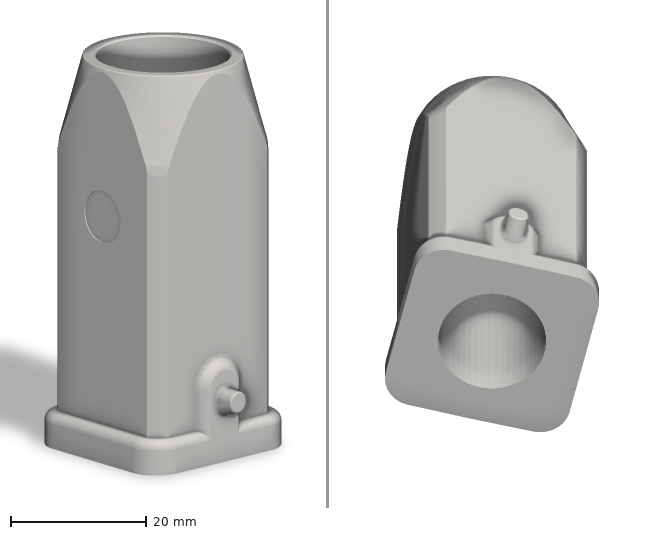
import cadquery as cq
import math

HEIGHT = 60.0
PIN_SPAN = 33.4

SIDE_DRAFT = 0.5

BASE_WIDTH = 27.0
BASE_DEPTH = 28.0
BASE_HEIGHT = 5.3
BASE_CORNER_RADIUS = 4.5
BASE_TOP_FILLET = 1.5

TOWER_WIDTH = 24.2
TOWER_DEPTH = 24.2
TOWER_RADIUS = 15.6
TOP_RADIUS = 11.95
CONE_ANGLE = 15.0
CONE_ROOT_FILLET = 6.0
TOP_FILLET = 0.25

ENTRY_DIAMETER = 20.0
ENTRY_DEPTH = 12.0
ENTRY_CHAMFER = 0.25
THROUGH_DIAMETER = 16.0

PAD_FACE_RADIUS = 2.95
PAD_CENTRE_HEIGHT = 11.6
PAD_SLOPE = 45.0
PAD_FILLET = 0.95
PAD_FOOT_HEIGHT = BASE_HEIGHT / 2

PIN_DIAMETER = 3.05
PIN_HEIGHT = 9.9
PIN_TIP_DROP = 0.2
PIN_ROOT_DROP = 1.3
PIN_TIP_CHAMFER = 0.2
PIN_ROOT_FILLET = 0.5

LABEL_DIAMETER = 8.0
LABEL_HEIGHT = 37.2
LABEL_DEPTH = 0.2

EMBED = 0.6

PICK_MARGIN = 0.2


def drafted_prism(width, depth, height):
    """Prism whose two X faces are widest at y = 0 and lean inward toward both ends."""
    half_width = width / 2
    half_depth = depth / 2
    end_half_width = half_width - half_depth * math.tan(math.radians(SIDE_DRAFT))
    outline = [
        (half_width, 0),
        (end_half_width, half_depth),
        (-end_half_width, half_depth),
        (-half_width, 0),
        (-end_half_width, -half_depth),
        (end_half_width, -half_depth),
    ]
    return cq.Workplane("XY").polyline(outline).close().extrude(height)


def make_base():
    base = drafted_prism(BASE_WIDTH, BASE_DEPTH, BASE_HEIGHT)
    base = base.edges("|Z").edges("<Y or >Y").fillet(BASE_CORNER_RADIUS)
    return base.faces(">Z").edges().fillet(BASE_TOP_FILLET)


def make_tower():
    """Cylinder and cone turned about Z, cut down to a drafted square section."""
    cone_height = (TOWER_RADIUS - TOP_RADIUS) / math.tan(math.radians(CONE_ANGLE))
    shoulder_height = HEIGHT - cone_height
    shaft = cq.Workplane("XY").circle(TOWER_RADIUS).extrude(shoulder_height)
    cone = cq.Workplane(
        cq.Solid.makeCone(TOWER_RADIUS, TOP_RADIUS, cone_height, cq.Vector(0, 0, shoulder_height))
    )
    turned = shaft.union(cone)
    shoulder = turned.edges("%CIRCLE").edges(cq.selectors.CenterNthSelector(cq.Vector(0, 0, 1), 1))
    turned = shoulder.fillet(CONE_ROOT_FILLET)
    turned = turned.faces(">Z").edges().fillet(TOP_FILLET)
    return turned.intersect(drafted_prism(TOWER_WIDTH, TOWER_DEPTH, HEIGHT))


def arched_outline(x, centre_height, radius, drop):
    """Closed outline in a YZ plane: semicircle on top of two upright sides and a flat foot."""
    return (
        cq.Workplane("YZ", origin=(x, 0, centre_height))
        .moveTo(-radius, -drop)
        .lineTo(-radius, 0)
        .threePointArc((0, radius), (radius, 0))
        .lineTo(radius, -drop)
        .close()
    )


def make_pad():
    """Sloped arch on the +X side, flush with the side of the base."""
    thickness = (BASE_WIDTH - TOWER_WIDTH) / 2 + EMBED
    drop = PAD_CENTRE_HEIGHT - PAD_FOOT_HEIGHT
    outline = arched_outline(BASE_WIDTH / 2, PAD_CENTRE_HEIGHT, PAD_FACE_RADIUS, drop)
    pad = outline.extrude(-thickness, taper=-PAD_SLOPE)
    return pad.intersect(drafted_prism(BASE_WIDTH, BASE_DEPTH, HEIGHT))


def pin_section(x, drop):
    """Upright slot: the pin circle stretched downward by the drop."""
    radius = PIN_DIAMETER / 2
    outline = (
        cq.Workplane("YZ", origin=(x, 0, PIN_HEIGHT))
        .moveTo(-radius, 0)
        .threePointArc((0, radius), (radius, 0))
        .lineTo(radius, -drop)
        .threePointArc((0, -drop - radius), (-radius, -drop))
        .close()
    )
    return outline.wires().val()


def make_pin():
    """Pin on the +X side, with an underside that deepens toward the pad."""
    root = pin_section(BASE_WIDTH / 2 - EMBED, PIN_ROOT_DROP)
    tip = pin_section(PIN_SPAN / 2, PIN_TIP_DROP)
    pin = cq.Workplane(cq.Solid.makeLoft([root, tip], True))
    return pin.faces(">X").edges().chamfer(PIN_TIP_CHAMFER)


def add_on_both_sides(body, feature):
    return body.union(feature).union(feature.mirror("YZ"))


def fillet_on_both_sides(body, x, half_y, low_z, high_z, radius):
    """Round the edges centred near the planes at +x and -x, inside the given Y and Z range."""
    for side in (1, -1):
        near_corner = (side * (x - PICK_MARGIN), -half_y, low_z)
        far_corner = (side * (x + PICK_MARGIN), half_y, high_z)
        picked = cq.selectors.BoxSelector(near_corner, far_corner)
        body = body.edges(picked).fillet(radius)
    return body


def add_pads(body):
    body = add_on_both_sides(body, make_pad())
    face_x = BASE_WIDTH / 2
    wall_x = TOWER_WIDTH / 2
    root_radius = PAD_FACE_RADIUS + (face_x - wall_x) * math.tan(math.radians(PAD_SLOPE))
    pad_top = PAD_CENTRE_HEIGHT + root_radius
    body = fillet_on_both_sides(
        body, face_x, PAD_FACE_RADIUS + PICK_MARGIN, BASE_HEIGHT, pad_top, PAD_FILLET
    )
    return fillet_on_both_sides(
        body, wall_x, root_radius + PICK_MARGIN, BASE_HEIGHT + PICK_MARGIN, pad_top, PAD_FILLET
    )


def add_pins(body):
    body = add_on_both_sides(body, make_pin())
    radius = PIN_DIAMETER / 2
    return fillet_on_both_sides(
        body,
        BASE_WIDTH / 2,
        radius + PICK_MARGIN,
        PIN_HEIGHT - PIN_ROOT_DROP - radius,
        PIN_HEIGHT + radius,
        PIN_ROOT_FILLET,
    )


def cut_cable_entry(body):
    body = body.faces(">Z").workplane().cboreHole(THROUGH_DIAMETER, ENTRY_DIAMETER, ENTRY_DEPTH)
    rim = body.faces(">Z").edges("%CIRCLE").edges(cq.selectors.RadiusNthSelector(0))
    return rim.chamfer(ENTRY_CHAMFER)


def cut_label_recess(body):
    recess = (
        cq.Workplane("XZ", origin=(0, -TOWER_DEPTH / 2, LABEL_HEIGHT))
        .circle(LABEL_DIAMETER / 2)
        .extrude(-LABEL_DEPTH)
    )
    return body.cut(recess)


housing = make_base().union(make_tower())
housing = add_pads(housing)
housing = add_pins(housing)
housing = cut_cable_entry(housing)
result = cut_label_recess(housing)